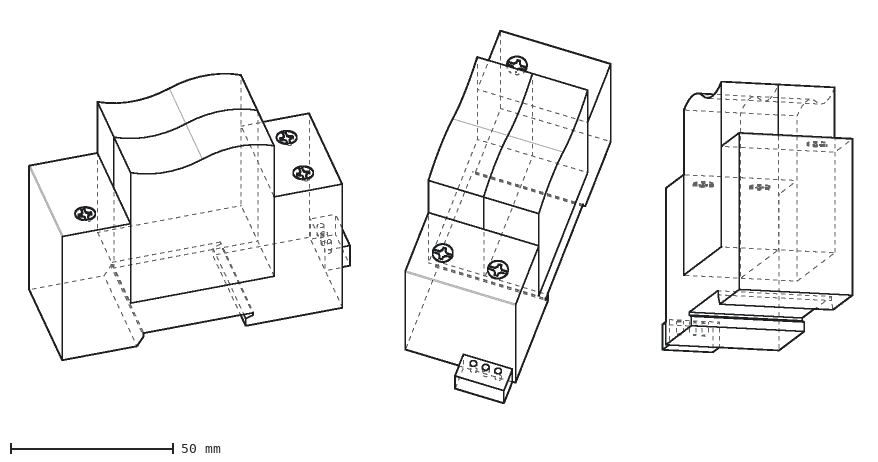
import cadquery as cq

HOUSING_WIDTH = 36.0
MODULE_COUNT = 2
MODULE_WIDTH = HOUSING_WIDTH / MODULE_COUNT
HOUSING_LENGTH = 90.0
HOUSING_HEIGHT = 49.2
EDGE_ROUNDING = 0.3

RAIL_TOP_Z = 4.7
HOOK_UNDERCUT_Y = 16.4
HOOK_TIP_Y = 13.9
HOOK_UNDERCUT_Z = 3.8
HOOK_TIP_Z = 2.9
RAMP_TOP_Y = -18.8
RAMP_FOOT_Y = -21.0
RAMP_TOP_Z = 3.4

PLUG_LENGTH = 46.1
PLUG_BOTTOM_Z = 17.6
PLUG_TOP_Z = 71.9
WAVE_RISE = 2.45
WAVE_BASE_Z = PLUG_TOP_Z - WAVE_RISE

SCREW_DIAMETER = 6.3
SCREW_RECESS = 0.3
SCREW_Y = 35.0
SCREW_OFFSET_X = 0.2
SLOT_WIDTH = 1.0
CROSS_LENGTH = 4.0
CROSS_CORE = 2.4
DRIVE_DEPTH = 0.5

CONNECTOR_WIDTH = 16.0
CONNECTOR_DEPTH = 8.0
CONNECTOR_HEIGHT = 8.0
CONTACT_DIAMETER = 2.1
CONTACT_DEPTH = 4.0
CONTACT_PITCH = 4.0
CONTACT_COUNT = 3
CONTACT_OFFSET = 2.1


def module_center_x(index):
    return (index - (MODULE_COUNT - 1) / 2) * MODULE_WIDTH


def rail_notch():
    """Cutter for the rail: an undercut hook on +Y and a sloped ramp on -Y."""
    outline = [
        (HOOK_TIP_Y, 0),
        (HOOK_TIP_Y, HOOK_TIP_Z),
        (HOOK_UNDERCUT_Y, HOOK_UNDERCUT_Z),
        (HOOK_UNDERCUT_Y, RAIL_TOP_Z),
        (RAMP_TOP_Y, RAIL_TOP_Z),
        (RAMP_TOP_Y, RAMP_TOP_Z),
        (RAMP_FOOT_Y, 0),
    ]
    return cq.Workplane("YZ").polyline(outline).close().extrude(HOUSING_WIDTH / 2, both=True)


def plug_bay():
    """Cutter for the bay that holds the plugs, open at the top and on both sides."""
    return cq.Workplane("XY", origin=(0, 0, PLUG_BOTTOM_Z)).box(
        HOUSING_WIDTH, PLUG_LENGTH, HOUSING_HEIGHT - PLUG_BOTTOM_Z, centered=(True, True, False)
    )


def screw_head(x, y):
    """Cutter for a sunken screw head: a full-width slot, a short cross bar and a diamond core."""
    head_z = HOUSING_HEIGHT - SCREW_RECESS
    drive_plane = cq.Workplane("XY", origin=(x, y, head_z))
    recess = drive_plane.circle(SCREW_DIAMETER / 2).extrude(SCREW_RECESS)
    head_disc = drive_plane.circle(SCREW_DIAMETER / 2).extrude(-DRIVE_DEPTH)
    slot = drive_plane.rect(SCREW_DIAMETER, SLOT_WIDTH).extrude(-DRIVE_DEPTH).intersect(head_disc)
    cross_bar = drive_plane.rect(SLOT_WIDTH, CROSS_LENGTH).extrude(-DRIVE_DEPTH)
    core = drive_plane.transformed(rotate=(0, 0, 45)).rect(CROSS_CORE, CROSS_CORE).extrude(-DRIVE_DEPTH)
    return recess.union(slot).union(cross_bar).union(core)


def make_housing():
    body = cq.Workplane("XY").box(
        HOUSING_WIDTH, HOUSING_LENGTH, HOUSING_HEIGHT, centered=(True, True, False)
    )
    body = body.faces(">Z").edges("|X").fillet(EDGE_ROUNDING)
    body = body.cut(rail_notch()).cut(plug_bay())
    left_x = module_center_x(0) + SCREW_OFFSET_X
    right_x = module_center_x(MODULE_COUNT - 1) + SCREW_OFFSET_X
    for x, y in [(left_x, SCREW_Y), (right_x, SCREW_Y), (right_x, -SCREW_Y)]:
        body = body.cut(screw_head(x, y))
    return body


def make_plug(center_x):
    """Plug-in module whose top is a crest on +Y followed by an equal trough on -Y."""
    end_y = PLUG_LENGTH / 2
    return (
        cq.Workplane("YZ", origin=(center_x, 0, 0))
        .moveTo(-end_y, PLUG_BOTTOM_Z)
        .lineTo(end_y, PLUG_BOTTOM_Z)
        .lineTo(end_y, WAVE_BASE_Z)
        .threePointArc((end_y / 2, WAVE_BASE_Z + WAVE_RISE), (0, WAVE_BASE_Z))
        .threePointArc((-end_y / 2, WAVE_BASE_Z - WAVE_RISE), (-end_y, WAVE_BASE_Z))
        .close()
        .extrude(MODULE_WIDTH / 2, both=True)
    )


def make_connector():
    """Block against the +Y end of the housing with a row of blind contact holes in its top."""
    center_x = module_center_x(0)
    housing_end_y = HOUSING_LENGTH / 2
    block = cq.Workplane("XY", origin=(center_x, housing_end_y, 0)).box(
        CONNECTOR_WIDTH, CONNECTOR_DEPTH, CONNECTOR_HEIGHT, centered=(True, False, False)
    )
    contacts = (
        cq.Workplane("XY", origin=(center_x, housing_end_y + CONTACT_OFFSET, CONNECTOR_HEIGHT))
        .rarray(CONTACT_PITCH, 1, CONTACT_COUNT, 1)
        .circle(CONTACT_DIAMETER / 2)
        .extrude(-CONTACT_DEPTH)
    )
    return block.cut(contacts)


housing = make_housing()
plugs = [make_plug(module_center_x(index)) for index in range(MODULE_COUNT)]
connector = make_connector()

result = cq.Compound.makeCompound([housing.val(), *[plug.val() for plug in plugs], connector.val()])